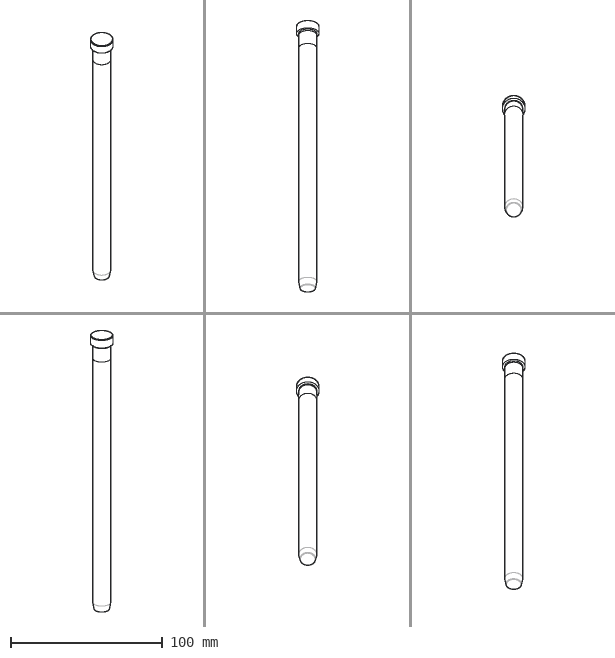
import cadquery as cq

pin_length = 200.0
shaft_radius = 6.0
top_z = pin_length / 2
bottom_z = -pin_length / 2

head_radius = 7.5
head_height = 6.0
head_chamfer = 0.5
undercut_height = 1.2
undercut_depth = 0.2

joint_depth = 17.0
joint_z = top_z - joint_depth

tip_length = 5.0
tip_middle_inset = 0.5
tip_end_inset = 0.9
end_round = 0.5


def make_headed_section():
    """Head, undercut and upper length of the pin, revolved about Z."""
    head_bottom_z = top_z - head_height
    undercut_bottom_z = head_bottom_z - undercut_height
    undercut_middle_z = head_bottom_z - undercut_height / 2
    undercut_radius = shaft_radius - undercut_depth
    return (
        cq.Workplane("XZ")
        .moveTo(0, joint_z)
        .lineTo(shaft_radius, joint_z)
        .lineTo(shaft_radius, undercut_bottom_z)
        .threePointArc((undercut_radius, undercut_middle_z), (shaft_radius, head_bottom_z))
        .lineTo(head_radius, head_bottom_z)
        .lineTo(head_radius, top_z - head_chamfer)
        .lineTo(head_radius - head_chamfer, top_z)
        .lineTo(0, top_z)
        .close()
        .revolve(360, (0, 0, 0), (0, 1, 0))
    )


def make_shaft():
    """Plain shaft whose tip curves slightly inward to a rounded end."""
    tip_top_z = bottom_z + tip_length
    tip_middle_z = bottom_z + tip_length / 2
    middle_radius = shaft_radius - tip_middle_inset
    end_radius = shaft_radius - tip_end_inset
    return (
        cq.Workplane("XZ")
        .moveTo(0, joint_z)
        .lineTo(shaft_radius, joint_z)
        .lineTo(shaft_radius, tip_top_z)
        .threePointArc((middle_radius, tip_middle_z), (end_radius, bottom_z))
        .lineTo(0, bottom_z)
        .close()
        .revolve(360, (0, 0, 0), (0, 1, 0))
        .faces("<Z")
        .edges()
        .fillet(end_round)
    )


headed_section = make_headed_section()
shaft = make_shaft()

result = cq.Compound.makeCompound([headed_section.val(), shaft.val()])